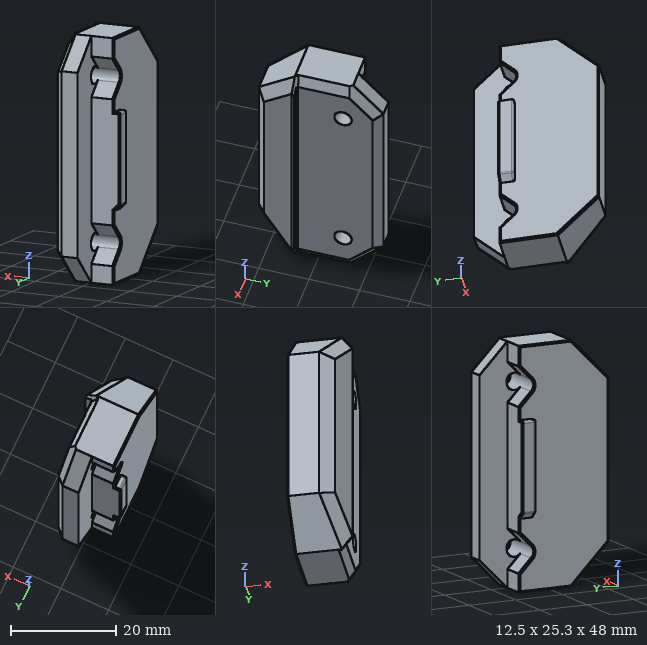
import cadquery as cq

height = 48.0
half_height = height / 2
width = 25.3
front_corner = 8.0
rear_corner = 6.0
rear_corner_y = width - rear_corner

body_x = 1.3
flange_x = 6.0
back_x = 11.0
ridge_x = 12.5

face_chamfer = 0.3
flange_chamfer = 1.65
end_chamfer_x = 1.2
end_chamfer_z = 2.0

slope_start = (7.55, 0.0)
slope_knee = (10.25, 1.8)
ridge_width = 0.55
ridge_blend_leg = 0.35
ridge_end_inset = 2.7

hole_diameter = 3.4
hole_radius = hole_diameter / 2
hole_y = 17.75
hole_spacing = 32.4
hole_shift_z = -0.15

rib_width = 3.0
rib_half_length = 9.6
rib_fillet = 0.45

tool_size = 3 * height


def outline_prism():
    """Octagonal prism along X, long enough to hold the whole part."""
    outline = [
        (front_corner, -half_height),
        (rear_corner_y, -half_height),
        (width, -half_height + rear_corner),
        (width, half_height - rear_corner),
        (rear_corner_y, half_height),
        (front_corner, half_height),
        (0, half_height - front_corner),
        (0, -half_height + front_corner),
    ]
    return cq.Workplane("YZ").polyline(outline).close().extrude(ridge_x)


def profile_prism(points):
    """XY profile extruded over the full height and trimmed to the octagon."""
    prism = cq.Workplane("XY").polyline(points).close().extrude(half_height, both=True)
    return prism.intersect(outline_prism())


def cut_beyond(solid, origin, normal):
    """Remove everything on the normal side of a plane, at both Z ends."""
    plane = cq.Plane(origin=origin, normal=normal)
    upper = cq.Workplane(plane).rect(tool_size, tool_size).extrude(tool_size)
    return solid.cut(upper).cut(upper.mirror("XY"))


slope_rate = (ridge_x - slope_knee[0]) / (front_corner - slope_knee[1])
corner_top = cq.Vector(slope_start[0] + slope_rate * front_corner, front_corner, half_height)
corner_foot = cq.Vector(*slope_start, half_height - front_corner)
crest_end = cq.Vector(ridge_x, front_corner, half_height - ridge_end_inset)
bevel_normal = (corner_top - corner_foot).cross(corner_top - crest_end)
mirrored_normal = cq.Vector(bevel_normal.x, -bevel_normal.y, bevel_normal.z)


def make_body():
    """Body and flange with a sloping back and bevelled back edges."""
    slope_at_back_y = slope_knee[1] + (back_x - slope_knee[0]) / slope_rate
    body = profile_prism([
        (body_x, 0),
        slope_start,
        slope_knee,
        (back_x, slope_at_back_y),
        (back_x, width),
        (flange_x, width),
        (flange_x, rear_corner_y),
        (body_x, rear_corner_y),
    ])
    body = cut_beyond(body, corner_top, bevel_normal)
    body = cut_beyond(body, (back_x - end_chamfer_x, 0, half_height), (end_chamfer_z, 0, end_chamfer_x))
    chamfer_start = (back_x - flange_chamfer, width, half_height - rear_corner)
    body = cut_beyond(body, chamfer_start, (1, 1, 0))
    return cut_beyond(body, chamfer_start, (2 ** 0.5, 1, 1))


def make_ridge():
    """Ridge rising from the sloping back, bevelled on both sides at each end."""
    crest_y = front_corner + ridge_width
    ridge = profile_prism([
        (flange_x, 0),
        slope_start,
        slope_knee,
        (ridge_x, front_corner),
        (ridge_x, crest_y),
        (back_x + ridge_blend_leg, crest_y),
        (back_x, crest_y + ridge_blend_leg),
        (flange_x, crest_y + ridge_blend_leg),
    ])
    ridge = cut_beyond(ridge, corner_top, bevel_normal)
    return cut_beyond(ridge, corner_top, mirrored_normal)


def make_hole(hole_z):
    """Screw hole through the full thickness of the part."""
    return cq.Workplane("YZ", origin=(0, hole_y, hole_z)).circle(hole_radius).extrude(ridge_x)


def make_notch(hole_z):
    """V notch down to the flange, its 45-degree walls tangent to the hole.

    The hole itself forms the rounded bottom of the notch.
    """
    tangent = hole_radius / 2 ** 0.5
    mouth = hole_radius * 2 ** 0.5 + width - hole_y
    notch = [
        (width, hole_z - mouth),
        (hole_y - tangent, hole_z - tangent),
        (hole_y - tangent, hole_z + tangent),
        (width, hole_z + mouth),
    ]
    return cq.Workplane("YZ").polyline(notch).close().extrude(flange_x)


def make_rib():
    """Rib flush with the body step, with a 45-degree ramp at its lower end."""
    root_x = body_x + face_chamfer
    rib = (
        cq.Workplane("XZ", origin=(0, rear_corner_y, 0))
        .moveTo(root_x, rib_half_length)
        .lineTo(0, rib_half_length)
        .lineTo(0, -rib_half_length + body_x)
        .lineTo(root_x, -rib_half_length - face_chamfer)
        .close()
        .extrude(rib_width)
    )
    rib = rib.edges("(not >X) and (not >Y)").fillet(rib_fillet)
    return rib.faces(">Y").edges("not >X").chamfer(face_chamfer)


result = make_body().union(make_ridge())
for side in (-1, 1):
    hole_z = hole_shift_z + side * hole_spacing / 2
    result = result.cut(make_hole(hole_z)).cut(make_notch(hole_z))
result = result.faces("<X").chamfer(face_chamfer)
result = result.union(make_rib())